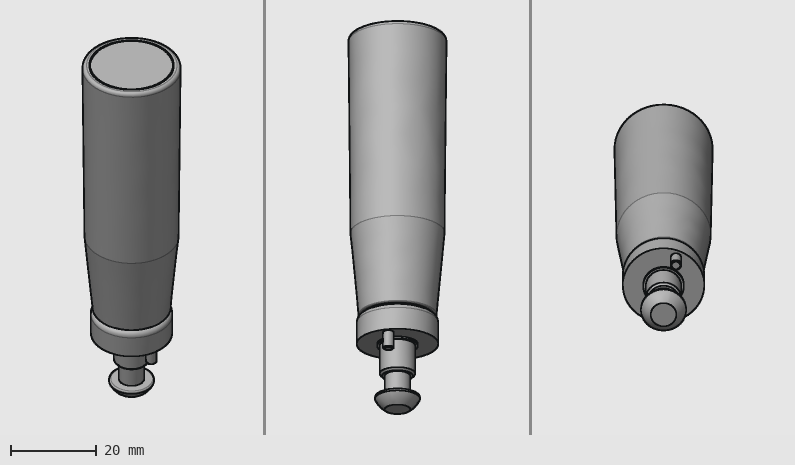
import cadquery as cq

TOTAL_HEIGHT = 93.3
RIM_LOW_Z = 2.6
HEAD_TOP_Z = 3.3
POST_BOTTOM_Z = 8.4
WASHER_BOTTOM_Z = 16.0
COLLAR_BOTTOM_Z = 16.4
COLLAR_TOP_Z = 23.1
GRIP_BOTTOM_Z = 23.5
KNEE_Z = 44.3

HEAD_DIAMETER = 10.5
HEAD_FLAT_DIAMETER = 6.0
HEAD_BULGE = 0.2
HEAD_RIM_FILLET = 0.4
SHANK_DIAMETER = 6.0
POST_DIAMETER = 8.3
POST_CHAMFER = 0.6
WASHER_DIAMETER = 9.5

COLLAR_DIAMETER = 19.0
COLLAR_FILLET = 1.3
NECK_DIAMETER = COLLAR_DIAMETER - 2 * COLLAR_FILLET

GRIP_BOTTOM_DIAMETER = 18.2
KNEE_DIAMETER = 22.0
GRIP_TOP_DIAMETER = 22.95
GRIP_TOP_FILLET = 0.9
GRIP_BOTTOM_FILLET = 0.3

CAP_DIAMETER = 19.3
CAP_GROOVE_WIDTH = 0.2
CAP_GROOVE_DEPTH = 0.3

PIN_DIAMETER = 2.5
PIN_OFFSET = 7.6
PIN_BOTTOM_Z = 12.3
PIN_CHAMFER = 0.3


def cylinder(diameter, bottom, top):
    """Cylinder on the Z axis between two heights."""
    return cq.Workplane("XY").workplane(offset=bottom).circle(diameter / 2).extrude(top - bottom)


def make_head():
    """Domed rivet head with a flat underside and a rounded rim."""
    flat_radius = HEAD_FLAT_DIAMETER / 2
    rim_radius = HEAD_DIAMETER / 2
    dome_middle = ((flat_radius + rim_radius) / 2 + HEAD_BULGE, RIM_LOW_Z / 2 - HEAD_BULGE)
    profile = (
        cq.Workplane("XZ")
        .moveTo(0, 0)
        .lineTo(flat_radius, 0)
        .threePointArc(dome_middle, (rim_radius, RIM_LOW_Z))
        .lineTo(rim_radius, HEAD_TOP_Z)
        .lineTo(0, HEAD_TOP_Z)
        .close()
    )
    return profile.revolve(360, (0, 0, 0), (0, 1, 0)).faces(">Z").edges().fillet(HEAD_RIM_FILLET)


def make_spindle():
    """Shank, chamfered post and thin washer, stacked up to the collar."""
    shank = cylinder(SHANK_DIAMETER, HEAD_TOP_Z, POST_BOTTOM_Z)
    post = cylinder(POST_DIAMETER, POST_BOTTOM_Z, COLLAR_BOTTOM_Z).faces("<Z").chamfer(POST_CHAMFER)
    washer = cylinder(WASHER_DIAMETER, WASHER_BOTTOM_Z, COLLAR_BOTTOM_Z)
    return shank.union(post).union(washer)


def make_collar():
    """Collar with a rounded upper edge and the neck joining it to the grip."""
    collar = cylinder(COLLAR_DIAMETER, COLLAR_BOTTOM_Z, COLLAR_TOP_Z)
    collar = collar.faces(">Z").edges().fillet(COLLAR_FILLET)
    return collar.union(cylinder(NECK_DIAMETER, COLLAR_TOP_Z - COLLAR_FILLET, GRIP_BOTTOM_Z))


def make_grip():
    """Tapered grip in two stretches that meet at the knee."""
    bottom_radius = GRIP_BOTTOM_DIAMETER / 2
    knee_radius = KNEE_DIAMETER / 2
    top_radius = GRIP_TOP_DIAMETER / 2
    profile = (
        cq.Workplane("XZ")
        .moveTo(0, GRIP_BOTTOM_Z)
        .lineTo(bottom_radius, GRIP_BOTTOM_Z)
        .lineTo(knee_radius, KNEE_Z)
        .lineTo(top_radius, TOTAL_HEIGHT - GRIP_TOP_FILLET)
        .tangentArcPoint((top_radius - GRIP_TOP_FILLET, TOTAL_HEIGHT), relative=False)
        .lineTo(0, TOTAL_HEIGHT)
        .close()
    )
    grip = profile.revolve(360, (0, 0, 0), (0, 1, 0))
    return grip.faces("<Z").edges().fillet(GRIP_BOTTOM_FILLET)


def make_cap_groove():
    """Ring to cut around the cap."""
    groove_bottom = TOTAL_HEIGHT - CAP_GROOVE_DEPTH
    outer = cylinder(CAP_DIAMETER + 2 * CAP_GROOVE_WIDTH, groove_bottom, TOTAL_HEIGHT)
    return outer.cut(cylinder(CAP_DIAMETER, groove_bottom, TOTAL_HEIGHT))


def make_pin():
    """Locating pin with a chamfered tip, beside the post on the +X side."""
    pin = cylinder(PIN_DIAMETER, PIN_BOTTOM_Z, COLLAR_BOTTOM_Z).faces("<Z").chamfer(PIN_CHAMFER)
    return pin.translate((PIN_OFFSET, 0, 0))


handle = make_head().union(make_spindle()).union(make_collar()).union(make_grip())
result = handle.cut(make_cap_groove()).union(make_pin())